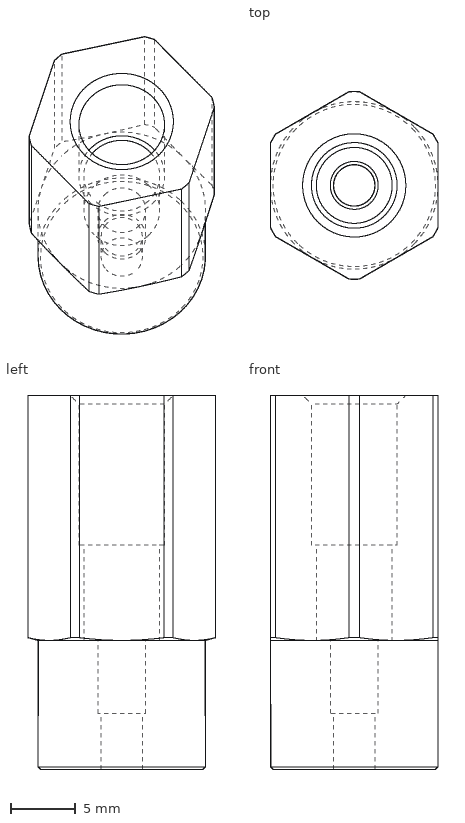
import cadquery as cq
import math

total_length = 29.0
across_flats = 13.0
across_corners = 14.55
shank_length = 10.0
shank_diameter = across_flats
end_chamfer = 0.2
corner_chamfer_angle = 15.0

bore_steps = [
    (6.65, 11.6),
    (5.9, 19.0),
    (3.7, 24.65),
    (3.2, total_length),
]
mouth_diameter = 8.0


def make_shank():
    """Plain round lower end with a small chamfer on its bottom edge."""
    shank = cq.Workplane("XY").circle(shank_diameter / 2).extrude(shank_length)
    return shank.faces("<Z").edges().chamfer(end_chamfer)


def make_hex_head():
    """Hexagon with flats facing +X and -X, turned corners and a conical underside."""
    head_length = total_length - shank_length
    hexagon = (
        cq.Workplane("XY")
        .workplane(offset=shank_length)
        .polygon(6, across_flats / math.cos(math.radians(30)))
        .extrude(head_length)
        .rotate((0, 0, 0), (0, 0, 1), 30)
    )
    inner_radius = across_flats / 2
    outer_radius = across_corners / 2
    cone_height = (outer_radius - inner_radius) * math.tan(math.radians(corner_chamfer_angle))
    turned_envelope = (
        cq.Workplane("XZ")
        .moveTo(0, shank_length)
        .lineTo(inner_radius, shank_length)
        .lineTo(outer_radius, shank_length + cone_height)
        .lineTo(outer_radius, total_length)
        .lineTo(0, total_length)
        .close()
        .revolve(360, (0, 0, 0), (0, 1, 0))
    )
    return hexagon.intersect(turned_envelope)


def make_bore():
    """Countersunk stepped hole narrowing from the top face to the bottom."""
    mouth_radius = mouth_diameter / 2
    entry_radius = bore_steps[0][0] / 2
    countersink_depth = mouth_radius - entry_radius
    profile = (
        cq.Workplane("XZ")
        .moveTo(0, total_length)
        .lineTo(mouth_radius, total_length)
        .lineTo(entry_radius, total_length - countersink_depth)
    )
    step_top = total_length - countersink_depth
    for diameter, depth in bore_steps:
        step_bottom = total_length - depth
        if diameter / 2 < entry_radius:
            profile = profile.lineTo(diameter / 2, step_top)
        profile = profile.lineTo(diameter / 2, step_bottom)
        step_top = step_bottom
    return profile.lineTo(0, 0).close().revolve(360, (0, 0, 0), (0, 1, 0))


result = make_shank().union(make_hex_head()).cut(make_bore())